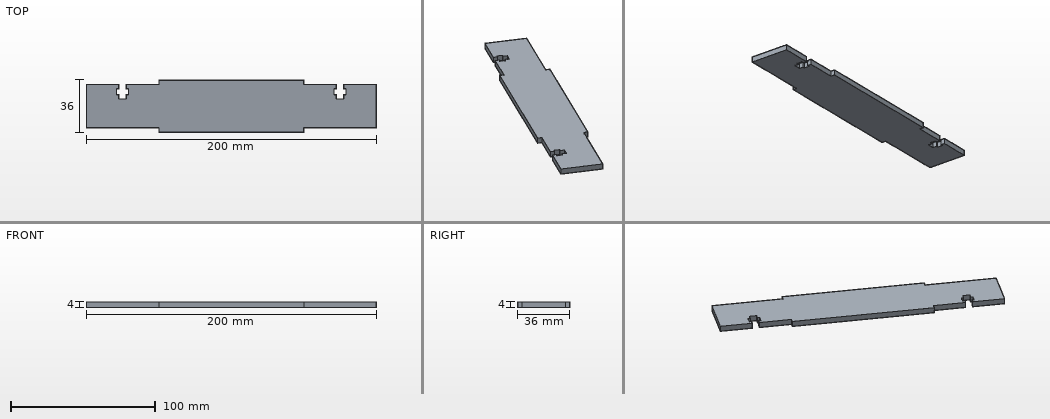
import cadquery as cq

length = 200.0
thickness = 4.0
end_width = 30.0
middle_length = 100.0
shoulder = 3.0
middle_width = end_width + 2 * shoulder

slot_spacing = 150.0
bolt_width = 5.0
bolt_depth = 10.0
nut_width = 8.0
nut_height = 4.0
nut_offset = 3.0

slot_edge = end_width / 2


def plate():
    """Long strip with a wider middle section."""
    strip = cq.Workplane("XY").box(length, end_width, thickness)
    middle = cq.Workplane("XY").box(middle_length, middle_width, thickness)
    return strip.union(middle)


def cross_slot(x):
    """Through cutter: a bolt slot crossed by a wider nut pocket."""
    bolt = (
        cq.Workplane("XY")
        .center(x, slot_edge - bolt_depth / 2)
        .box(bolt_width, bolt_depth, thickness)
    )
    nut = (
        cq.Workplane("XY")
        .center(x, slot_edge - nut_offset - nut_height / 2)
        .box(nut_width, nut_height, thickness)
    )
    return bolt.union(nut)


result = plate()
for side in (-1, 1):
    result = result.cut(cross_slot(side * slot_spacing / 2))